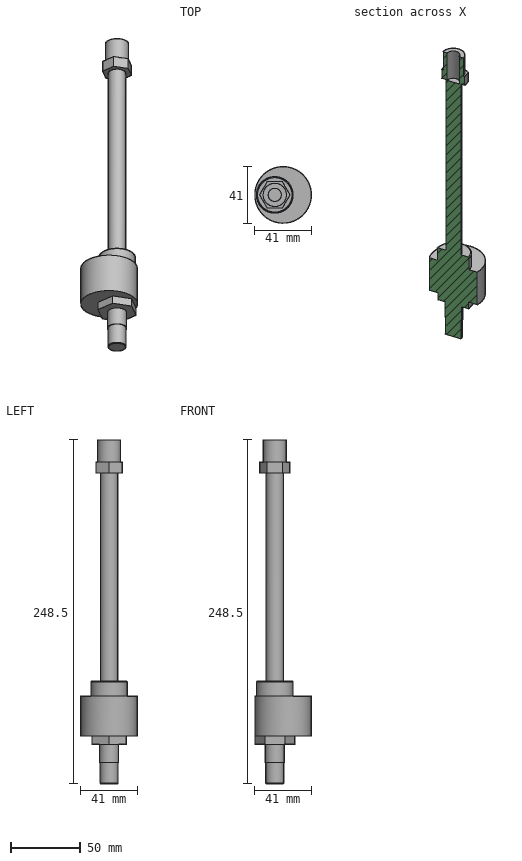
import cadquery as cq
import math


spigot_diameter = 13.2
spigot_length = 15.5
spigot_chamfer = 0.5

shoulder_diameter = 13.9
shoulder_length = 13.0

lower_hex_across_flats = 25.0
lower_hex_height = 6.0
upper_hex_across_flats = 19.0
upper_hex_height = 8.0

body_diameter = 41.0
body_height = 29.0
body_offset = 6.0

collar_diameter = 26.5
collar_height = 11.0
collar_chamfer = 0.8

tube_diameter = 12.7
tube_length = 150.0

end_diameter = 16.8
end_length = 16.0
bore_diameter = 9.5
bore_depth = end_length + upper_hex_height

shoulder_z = spigot_length
lower_hex_z = shoulder_z + shoulder_length
body_z = lower_hex_z + lower_hex_height
collar_z = body_z + body_height
tube_z = collar_z + collar_height
upper_hex_z = tube_z + tube_length
end_z = upper_hex_z + upper_hex_height
top_z = end_z + end_length


def cylinder(diameter, height, base_z, offset_x=0.0):
    """Upright cylinder standing on base_z."""
    return cq.Workplane("XY", origin=(offset_x, 0, base_z)).circle(diameter / 2).extrude(height)


def hexagon(across_flats, height, base_z):
    """Upright hexagonal prism with two corners on the X direction."""
    across_corners = across_flats / math.cos(math.radians(30))
    return cq.Workplane("XY", origin=(0, 0, base_z)).polygon(6, across_corners).extrude(height)


spigot = cylinder(spigot_diameter, spigot_length, 0).faces("<Z").chamfer(spigot_chamfer)
shoulder = cylinder(shoulder_diameter, shoulder_length, shoulder_z)
lower_hex = hexagon(lower_hex_across_flats, lower_hex_height, lower_hex_z)
body = cylinder(body_diameter, body_height, body_z, body_offset)
collar = cylinder(collar_diameter, collar_height, collar_z).faces(">Z").chamfer(collar_chamfer)
tube = cylinder(tube_diameter, tube_length, tube_z)
upper_hex = hexagon(upper_hex_across_flats, upper_hex_height, upper_hex_z)
end = cylinder(end_diameter, end_length, end_z)
bore = cylinder(bore_diameter, bore_depth, top_z - bore_depth)

result = spigot
for section in (shoulder, lower_hex, body, collar, tube, upper_hex, end):
    result = result.union(section)
result = result.cut(bore)